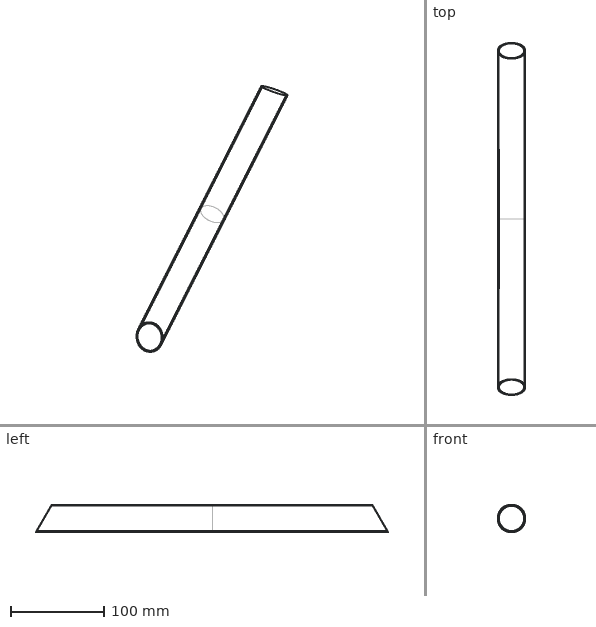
import cadquery as cq
import math

length = 378.5
outer_diameter = 30.0
wall = 1.5
miter_angle = 30.0

outer_radius = outer_diameter / 2
inner_radius = outer_radius - wall
end_setback = outer_diameter * math.tan(math.radians(miter_angle))

tube = (
    cq.Workplane("XZ")
    .circle(outer_radius)
    .circle(inner_radius)
    .extrude(length / 2, both=True)
)

half_bottom = length / 2
half_top = half_bottom - end_setback
miter_envelope = (
    cq.Workplane("YZ")
    .polyline([
        (-half_bottom, -outer_radius),
        (half_bottom, -outer_radius),
        (half_top, outer_radius),
        (-half_top, outer_radius),
    ])
    .close()
    .extrude(outer_diameter, both=True)
)

result = tube.intersect(miter_envelope)